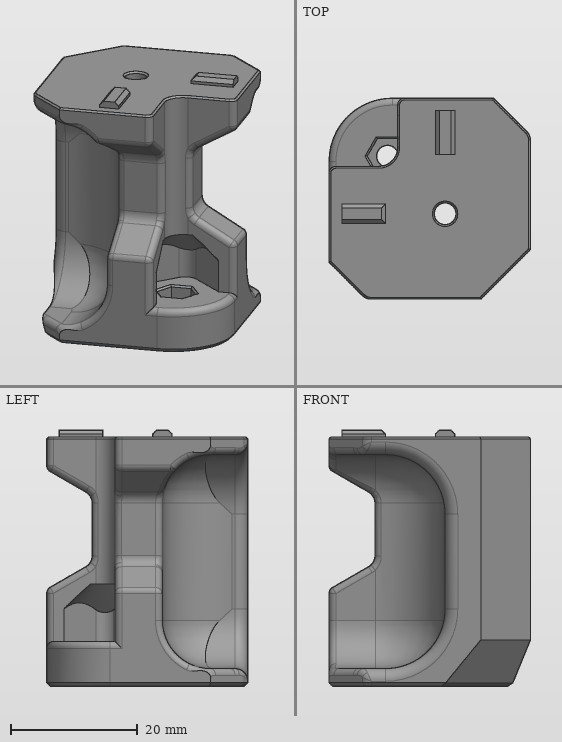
import cadquery as cq
import math


near_reach = 13.5
far_reach_x = 18.35
far_reach_y = 18.28
height = 39.4
back_chamfer = 7.85
lip_chamfer = 5.86
ledge_corner_radius = 10.0
top_bevel = 0.3
bottom_bevel = 0.6

ledge_height = 7.1
ledge_wall = 7.5
ledge_inner_radius = 3.0

notch_depth = 7.25
notch_low = 15.3
notch_high = 34.3
notch_slope = math.radians(30)
notch_corner_radius = 2.0
notch_back = -far_reach_x + notch_depth
notch_rise = notch_depth * math.tan(notch_slope)

pocket_floor = 2.8
pocket_roof = 36.6
pocket_corner_radius = 11.0
pocket_mouth_radius = 9.4
lip_end = -near_reach + lip_chamfer
pocket_edge_radius = -lip_end

mouth_round = 2.0
rim_round = 1.1
rim_depth = 2.5
lip_round_x_end = -14.0
lip_round_y_start = -11.6
ledge_rim_inner_end = 8.1

slope_height = 7.34
slope_foot = 0.6
back_slope_inset = 3.9
side_slope_inset = 2.77

bore_diameter = 3.4
bore_bevel = 0.3
corner_bore_x = -9.1
corner_bore_y = 9.1

nut_across_corners = 6.4
nut_depth = 2.5
nut_bevel = 0.3

relief_side = 11.4
relief_corner_radius = 2.0
relief_top = 16.2
relief_top_radius = 2.7
relief_roof_radius = 9.0
relief_roof_edge = relief_top - (relief_roof_radius - relief_top_radius)

key_length = 6.9
key_width = 3.1
key_height = 1.1
key_bevel = 0.65
key_inner_end = 9.4

beyond = 60.0
side_slack = 0.1
level_slack = 0.05


def mirrored(solid):
    """The solid reflected across the vertical plane y = -x."""
    return cq.Workplane(solid.val().mirror(cq.Vector(1, 1, 0)))


def edges_within(body, x_range, y_range, z_range):
    """Edges lying wholly inside a box."""
    low = (x_range[0] - side_slack, y_range[0] - side_slack, z_range[0] - level_slack)
    high = (x_range[1] + side_slack, y_range[1] + side_slack, z_range[1] + level_slack)
    return body.edges(cq.selectors.BoxSelector(low, high, boundingbox=True)).vals()


def edges_both_sides(body, x_range, y_range, z_range):
    """Edges inside a box on the -X or -Y side, and inside the mirror image of that box."""
    flipped_x = (-y_range[1], -y_range[0])
    flipped_y = (-x_range[1], -x_range[0])
    edges = edges_within(body, x_range, y_range, z_range)
    return edges + edges_within(body, flipped_x, flipped_y, z_range)


def outline_block():
    corner = ledge_corner_radius
    return (
        cq.Workplane("XY")
        .moveTo(-far_reach_x, lip_end)
        .lineTo(-far_reach_x + lip_chamfer, -near_reach)
        .lineTo(near_reach - back_chamfer, -near_reach)
        .lineTo(near_reach, -near_reach + back_chamfer)
        .lineTo(near_reach, far_reach_y - lip_chamfer)
        .lineTo(near_reach - lip_chamfer, far_reach_y)
        .lineTo(-far_reach_x + corner, far_reach_y)
        .radiusArc((-far_reach_x, far_reach_y - corner), -corner)
        .close()
        .extrude(height)
    )


def ledge_space():
    return (
        cq.Workplane("XY", origin=(-ledge_wall - beyond, ledge_wall, ledge_height))
        .box(beyond, beyond, beyond, centered=False)
        .edges("|Z and >X and <Y")
        .fillet(ledge_inner_radius)
    )


def notch_space():
    return (
        cq.Workplane("XZ", origin=(0, ledge_wall, 0))
        .moveTo(-far_reach_x, notch_low)
        .lineTo(notch_back, notch_low + notch_rise)
        .lineTo(notch_back, notch_high - notch_rise)
        .lineTo(-far_reach_x, notch_high)
        .close()
        .extrude(2 * ledge_wall)
        .edges("|Y and >X")
        .fillet(notch_corner_radius)
    )


def pocket_space():
    """A scoop with a rounded inner corner, floor and roof, narrowed to a round-cornered mouth."""
    block = cq.Workplane("XY", origin=(-beyond, -beyond, pocket_floor)).box(
        beyond, beyond, pocket_roof - pocket_floor, centered=False
    )
    scoop = block.edges("|Z and >X and >Y").fillet(pocket_corner_radius)
    scoop = scoop.faces(">X").edges(">Z or <Z").fillet(pocket_edge_radius)
    mouth = block.edges("|Y and >X").fillet(pocket_mouth_radius)
    return scoop.intersect(mouth)


def round_mouths(body):
    """Round each pocket's wide mouth and the upright corner between it and the lip."""
    lip_x = -far_reach_x + lip_chamfer
    face_y = (-near_reach, -near_reach)
    edges = edges_both_sides(body, (lip_x, 0), face_y, (pocket_floor, pocket_roof))
    edges += edges_both_sides(body, (lip_x, lip_x), face_y, (0, height))
    return cq.Workplane(body.val().fillet(mouth_round, edges))


def round_rims(body):
    """Round the lips, the ends of the arms, the notches and the rim of the ledge."""
    face_x = (-far_reach_x, -far_reach_x)
    notch_x = (-far_reach_x, notch_back)
    wall_y = (ledge_wall, ledge_wall)
    ledge_level = (ledge_height, ledge_height)
    straight_rim_y = (ledge_wall, far_reach_x - ledge_corner_radius)
    curved_rim_x = (-far_reach_x, -ledge_rim_inner_end)
    curved_rim_y = (ledge_rim_inner_end, far_reach_x)

    edges = edges_both_sides(body, face_x, (lip_end, ledge_wall), (pocket_floor, pocket_roof))
    edges += edges_both_sides(body, notch_x, wall_y, (ledge_height, height))
    edges += edges_both_sides(body, notch_x, (-rim_depth, 0), (notch_low, notch_high))
    for level in (pocket_floor, pocket_roof):
        lip_x = (-far_reach_x, lip_round_x_end)
        edges += edges_both_sides(body, lip_x, (lip_round_y_start, lip_end), (level, level))
    edges += edges_both_sides(body, face_x, straight_rim_y, ledge_level)
    edges += edges_within(body, curved_rim_x, curved_rim_y, ledge_level)

    distinct = []
    for edge in edges:
        if not any(edge.isSame(other) for other in distinct):
            distinct.append(edge)
    return cq.Workplane(body.val().fillet(rim_round, distinct))


def slope_space(distance, inset, direction):
    """Wedge under a vertical face at this distance from the Z axis, facing this direction."""
    lean = inset / (slope_height - slope_foot)
    return (
        cq.Workplane("XZ", origin=(0, beyond / 2, 0))
        .moveTo(distance, slope_height)
        .lineTo(distance - lean * slope_height, 0)
        .lineTo(distance + beyond, 0)
        .lineTo(distance + beyond, slope_height)
        .close()
        .extrude(beyond)
        .rotate((0, 0, 0), (0, 0, 1), direction)
    )


def bore_space(x, y, top):
    return cq.Workplane("XY", origin=(x, y, 0)).circle(bore_diameter / 2).extrude(top)


def bore_bevel_space():
    radius = bore_diameter / 2
    return (
        cq.Workplane("XY", origin=(0, 0, height - bore_bevel))
        .circle(radius)
        .workplane(offset=bore_bevel)
        .circle(radius + bore_bevel)
        .loft()
    )


def nut_seat_space():
    return (
        cq.Workplane("XY", origin=(corner_bore_x, corner_bore_y, ledge_height - nut_depth))
        .polygon(6, nut_across_corners)
        .extrude(nut_depth)
    )


def nut_bevel_space():
    bevel_across = nut_across_corners + 2 * nut_bevel / math.cos(math.pi / 6)
    return (
        cq.Workplane("XY", origin=(corner_bore_x, corner_bore_y, ledge_height - nut_bevel))
        .polygon(6, nut_across_corners)
        .workplane(offset=nut_bevel)
        .polygon(6, bevel_across)
        .loft()
    )


def relief_space():
    """A round-cornered square shaft, turned to the diagonal, under a conical roof."""
    shaft = (
        cq.Workplane("XY", origin=(0, 0, ledge_height))
        .rect(relief_side, relief_side)
        .extrude(relief_top - ledge_height)
        .edges("|Z")
        .fillet(relief_corner_radius)
        .rotate((0, 0, 0), (0, 0, 1), 45)
    )
    roof = (
        cq.Workplane("XZ")
        .moveTo(0, ledge_height)
        .lineTo(relief_roof_radius, ledge_height)
        .lineTo(relief_roof_radius, relief_roof_edge)
        .lineTo(relief_top_radius, relief_top)
        .lineTo(0, relief_top)
        .close()
        .revolve()
    )
    return shaft.intersect(roof).translate((corner_bore_x, corner_bore_y, 0))


def make_housing():
    body = outline_block().cut(ledge_space())
    for space in (notch_space(), pocket_space()):
        body = body.cut(space).cut(mirrored(space))
    body = round_mouths(body)
    body = round_rims(body)
    body = body.faces(">Z").chamfer(top_bevel)

    back_distance = (2 * near_reach - back_chamfer) / math.sqrt(2)
    body = body.cut(slope_space(back_distance, back_slope_inset, -45))
    body = body.cut(slope_space(near_reach, side_slope_inset, 0))
    body = body.faces("<Z").chamfer(bottom_bevel)

    body = body.cut(bore_space(0, 0, height)).cut(bore_bevel_space())
    body = body.cut(bore_space(corner_bore_x, corner_bore_y, ledge_height))
    body = body.cut(nut_seat_space()).cut(nut_bevel_space())
    return body.cut(relief_space())


def make_key(inner_bevel):
    """A key along X on the -X side, with bevelled long edges and, if asked, a bevelled inner end."""
    half = key_width / 2
    bar = (
        cq.Workplane("YZ", origin=(-key_inner_end - key_length, 0, height))
        .moveTo(-half, 0)
        .lineTo(half, 0)
        .lineTo(half, key_height - key_bevel)
        .lineTo(half - key_bevel, key_height)
        .lineTo(key_bevel - half, key_height)
        .lineTo(-half, key_height - key_bevel)
        .close()
        .extrude(key_length)
    )
    if inner_bevel:
        bar = bar.faces(">X").edges(">Z").chamfer(key_bevel)
    return bar


housing = make_housing()
keys = [make_key(inner_bevel=True), mirrored(make_key(inner_bevel=False))]

result = cq.Compound.makeCompound([housing.val(), *[key.val() for key in keys]])